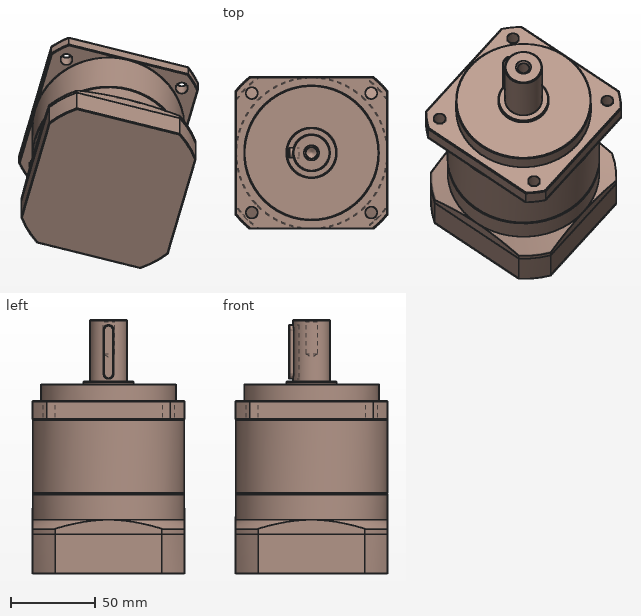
import cadquery as cq
import math

total_height = 150.4
adapter_height = 23.4
cone_top_z = 32.0
case_joint_z = 47.4
flange_bottom_z = 91.4
flange_top_z = 102.4
pilot_top_z = 112.4
collar_top_z = 113.9

body_width = 90.0
base_corner_diameter = 110.0
flange_corner_diameter = 116.0
pilot_diameter = 80.0
collar_diameter = 30.0
shaft_diameter = 22.0
edge_break = 0.5

cone_drop = 5.0

bolt_circle_diameter = 100.0
bolt_hole_diameter = 7.0
bolt_hole_count = 4
first_bolt_angle = 45.0

tap_diameter = 6.8
tap_countersink_diameter = 9.0
tap_depth = 20.0
drill_point_angle = 118.0

key_width = 6.0
key_height = 6.0
key_length = 32.0
key_projection = 2.5
key_end_gap = 3.0

body_radius = body_width / 2
shaft_radius = shaft_diameter / 2
key_outer_x = -(shaft_radius + key_projection)
key_center_z = total_height - key_end_gap - key_length / 2


def cylinder(diameter, bottom, top):
    return cq.Workplane("XY").workplane(offset=bottom).circle(diameter / 2).extrude(top - bottom)


def turned(profile):
    """Revolve a closed (radius, z) profile about the Z axis."""
    return cq.Workplane("XZ").polyline(profile).close().revolve(360, (0, 0, 0), (0, 1, 0))


def square_block(corner_diameter, bottom, top):
    """Square block whose four corners are turned to a common diameter."""
    block = (
        cq.Workplane("XY")
        .workplane(offset=bottom)
        .rect(body_width, body_width)
        .extrude(top - bottom)
    )
    return block.intersect(cylinder(corner_diameter, bottom, top))


def key_blank():
    """Round-ended key lying against its outer face, before the edges are broken."""
    return (
        cq.Workplane("YZ", origin=(key_outer_x, 0, key_center_z))
        .slot2D(key_length, key_width, 90)
        .extrude(key_height)
    )


def make_adapter():
    block = square_block(base_corner_diameter, 0, adapter_height)
    return block.faces("<Z").chamfer(edge_break)


def make_shoulder():
    """Upper part of the square base, trimmed by a cone and a corner edge break."""
    corner_radius = base_corner_diameter / 2
    cone_edge_z = cone_top_z - cone_drop
    envelope = turned([
        (0, adapter_height),
        (corner_radius, adapter_height),
        (corner_radius, cone_edge_z - edge_break),
        (corner_radius - edge_break, cone_edge_z),
        (body_radius, cone_top_z),
        (0, cone_top_z),
    ])
    return square_block(base_corner_diameter, adapter_height, cone_top_z).intersect(envelope)


def make_flange():
    flange = square_block(flange_corner_diameter, flange_bottom_z, flange_top_z)
    flange = flange.faces("<Z or >Z").chamfer(edge_break)
    holes = (
        cq.Workplane("XY")
        .workplane(offset=flange_bottom_z)
        .polarArray(bolt_circle_diameter / 2, first_bolt_angle, 360, bolt_hole_count)
        .circle(bolt_hole_diameter / 2)
        .extrude(flange_top_z - flange_bottom_z)
    )
    return flange.cut(holes)


def make_tapped_hole():
    """Countersunk blind hole with a conical drill point, as a cutting solid."""
    tap_radius = tap_diameter / 2
    sink_radius = tap_countersink_diameter / 2
    hole_bottom_z = total_height - tap_depth
    point_depth = tap_radius / math.tan(math.radians(drill_point_angle / 2))
    return turned([
        (0, total_height),
        (sink_radius, total_height),
        (tap_radius, total_height - (sink_radius - tap_radius)),
        (tap_radius, hole_bottom_z),
        (0, hole_bottom_z - point_depth),
    ])


def make_gearbox():
    lower_case = cylinder(body_width, cone_top_z, case_joint_z).faces(">Z").chamfer(edge_break)
    upper_case = cylinder(body_width, case_joint_z, flange_bottom_z).faces("<Z or >Z").chamfer(edge_break)
    pilot = cylinder(pilot_diameter, flange_top_z, pilot_top_z).faces(">Z").chamfer(edge_break)
    collar = cylinder(collar_diameter, pilot_top_z, collar_top_z).faces(">Z").chamfer(edge_break)
    shaft = cylinder(shaft_diameter, collar_top_z, total_height).faces(">Z").chamfer(edge_break)
    gearbox = make_shoulder()
    for section in (lower_case, upper_case, make_flange(), pilot, collar, shaft):
        gearbox = gearbox.union(section)
    return gearbox.cut(make_tapped_hole()).cut(key_blank())


def make_key():
    return key_blank().faces("<X").chamfer(edge_break)


adapter = make_adapter()
gearbox = make_gearbox()
key = make_key()

result = cq.Compound.makeCompound([body.solids().val() for body in (adapter, gearbox, key)])